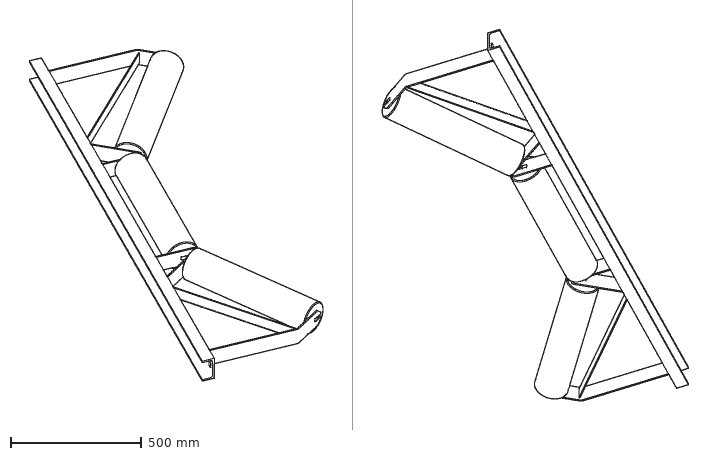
import cadquery as cq
import math

BEAM_LENGTH = 1900.0
BEAM_HEIGHT = 100.0
BEAM_DEPTH = 50.0
BEAM_THICKNESS = 8.0
BEAM_ROOT_RADIUS = 10.0
MOUNT_SLOT_WIDTH = 19.0
MOUNT_SLOT_HEIGHT = 28.0
MOUNT_SLOT_END_DISTANCE = 28.0

ROLLER_DIAMETER = 133.0
ROLLER_LENGTH = 570.0
ROLLER_CHAMFER = 4.0
CENTRE_ROLLER_Y = 118.0
WING_TILT = 35.0
WING_CENTRE_X = 572.0
WING_CENTRE_Y = 298.0

AXLE_DIAMETER = 23.0
AXLE_FLAT_WIDTH = 15.0

STRIP_THICKNESS = 6.0
STRIP_WIDTH = 72.0
ROLLER_GAP = 5.0
OUTER_BEND_RADIUS = 19.0
INNER_BEND_RADIUS = 11.0
TIP_ABOVE_AXLE = 32.0
TIP_CHAMFER = 23.0
UPRIGHT_OUTER_X = 885.0

BRACE_THICKNESS = 4.8
BRACE_WIDTH = 50.0
BRACE_FOOT_X = 458.0
BRACE_ANGLE = 42.0

half_roller = ROLLER_LENGTH / 2
near_face = half_roller + ROLLER_GAP
far_face = near_face + STRIP_THICKNESS
tilt_sin = math.sin(math.radians(WING_TILT))
tilt_cos = math.cos(math.radians(WING_TILT))


def wing_point(along, above):
    """XY point of the left wing roller's frame: along its axis (downhill), and square to it (upward)."""
    x = -WING_CENTRE_X + along * tilt_cos + above * tilt_sin
    y = WING_CENTRE_Y - along * tilt_sin + above * tilt_cos
    return x, y


def wing_point_at_x(along, x):
    """Point on the line square to the wing axis at `along` which has the given x."""
    above = (x + WING_CENTRE_X - along * tilt_cos) / tilt_sin
    return wing_point(along, above)


def wing_point_at_y(along, y):
    """Point on the line square to the wing axis at `along` which has the given y."""
    above = (y - WING_CENTRE_Y + along * tilt_sin) / tilt_cos
    return wing_point(along, above)


def extrude_about_mid_plane(points, width):
    """Prism of an XY outline, centred on Z = 0."""
    return cq.Workplane("XY", origin=(0, 0, -width / 2)).polyline(points).close().extrude(width)


def fillet_at(body, point, radius):
    """Round the vertical edge which passes through an XY point."""
    edge = cq.selectors.NearestToPointSelector((point[0], point[1], 0))
    return body.edges("|Z").edges(edge).fillet(radius)


def to_wing(body):
    """Carry a body from a level roller at the origin to the left wing roller."""
    return body.rotate((0, 0, 0), (0, 0, 1), -WING_TILT).translate((-WING_CENTRE_X, WING_CENTRE_Y, 0))


def to_centre(body):
    """Carry a body from a level roller at the origin to the centre roller."""
    return body.translate((0, CENTRE_ROLLER_Y, 0))


def mirrored(body):
    return body.mirror("YZ")


def make_beam():
    channel = (
        cq.Workplane("XY")
        .box(BEAM_LENGTH, BEAM_DEPTH, BEAM_HEIGHT)
        .translate((0, -BEAM_DEPTH / 2, 0))
    )
    cavity = (
        cq.Workplane("XY")
        .box(BEAM_LENGTH, BEAM_DEPTH, BEAM_HEIGHT - 2 * BEAM_THICKNESS)
        .edges("|X and >Y")
        .fillet(BEAM_ROOT_RADIUS)
        .translate((0, -BEAM_DEPTH / 2 - BEAM_THICKNESS, 0))
    )
    slot_x = BEAM_LENGTH / 2 - MOUNT_SLOT_END_DISTANCE
    slots = (
        cq.Workplane("XZ")
        .pushPoints([(-slot_x, 0), (slot_x, 0)])
        .slot2D(MOUNT_SLOT_HEIGHT, MOUNT_SLOT_WIDTH, 90)
        .extrude(BEAM_DEPTH)
    )
    return channel.cut(cavity).cut(slots)


def make_roller():
    """Level roller along X, centred on the origin, axle ends flush with the bracket faces."""
    drum = (
        cq.Workplane("YZ", origin=(-half_roller, 0, 0))
        .circle(ROLLER_DIAMETER / 2)
        .extrude(ROLLER_LENGTH)
        .faces("<X or >X")
        .chamfer(ROLLER_CHAMFER)
    )
    axle = cq.Workplane("YZ", origin=(-far_face, 0, 0)).circle(AXLE_DIAMETER / 2).extrude(2 * far_face)
    flats = cq.Workplane("XY").box(2 * far_face, AXLE_DIAMETER, AXLE_FLAT_WIDTH)
    return drum.union(axle.intersect(flats))


def make_axle_slot(end):
    """Cutter for the upward-open axle slot at one end (-1 or +1) of a level roller at the origin."""
    middle = end * (near_face + far_face) / 2
    cutter_length = 3 * STRIP_THICKNESS
    opening_height = ROLLER_DIAMETER / 2
    seat = cq.Workplane("YZ").circle(AXLE_DIAMETER / 2).extrude(cutter_length / 2, both=True)
    opening = (
        cq.Workplane("XY")
        .box(cutter_length, opening_height, AXLE_DIAMETER)
        .translate((0, opening_height / 2, 0))
    )
    flats = cq.Workplane("XY").box(cutter_length, ROLLER_DIAMETER, AXLE_FLAT_WIDTH)
    return seat.union(opening).intersect(flats).translate((middle, 0, 0))


def make_outer_bracket():
    """Left outer upright, bent over to lie along the outer end of the wing roller."""
    upright_inner_x = -UPRIGHT_OUTER_X + STRIP_THICKNESS
    outer_bend = wing_point_at_x(-far_face, -UPRIGHT_OUTER_X)
    inner_bend = wing_point_at_x(-near_face, upright_inner_x)
    strip = extrude_about_mid_plane(
        [
            (-UPRIGHT_OUTER_X, 0),
            outer_bend,
            wing_point(-far_face, TIP_ABOVE_AXLE),
            wing_point(-near_face, TIP_ABOVE_AXLE),
            inner_bend,
            (upright_inner_x, 0),
        ],
        STRIP_WIDTH,
    )
    strip = fillet_at(strip, outer_bend, OUTER_BEND_RADIUS)
    strip = fillet_at(strip, inner_bend, OUTER_BEND_RADIUS - STRIP_THICKNESS)
    half_width = STRIP_WIDTH / 2
    corner = (
        cq.Workplane("YZ")
        .polyline(
            [
                (TIP_ABOVE_AXLE, half_width - TIP_CHAMFER),
                (TIP_ABOVE_AXLE, half_width),
                (TIP_ABOVE_AXLE - TIP_CHAMFER, half_width),
            ]
        )
        .close()
        .extrude(2 * STRIP_THICKNESS, both=True)
        .translate((-far_face, 0, 0))
    )
    for cutter in (corner, corner.mirror("XY"), make_axle_slot(-1)):
        strip = strip.cut(to_wing(cutter))
    return strip


def make_inner_bracket():
    """Left inverted V between the wing roller and the centre roller."""
    outer_bend = wing_point_at_x(near_face, -near_face)
    inner_bend = wing_point_at_x(far_face, -far_face)
    strip = extrude_about_mid_plane(
        [
            (-near_face, 0),
            outer_bend,
            wing_point_at_y(near_face, 0),
            wing_point_at_y(far_face, 0),
            inner_bend,
            (-far_face, 0),
        ],
        STRIP_WIDTH,
    )
    strip = fillet_at(strip, outer_bend, INNER_BEND_RADIUS)
    strip = fillet_at(strip, inner_bend, INNER_BEND_RADIUS - STRIP_THICKNESS)
    return strip.cut(to_wing(make_axle_slot(1))).cut(to_centre(make_axle_slot(-1)))


def make_brace(bracket):
    """Left sloping bar, cut level at the beam and fitted to the outer bracket."""
    top_x = -UPRIGHT_OUTER_X + STRIP_THICKNESS
    slope = math.tan(math.radians(BRACE_ANGLE))
    foot_length = BRACE_THICKNESS / math.sin(math.radians(BRACE_ANGLE))
    foot_outer_x = -BRACE_FOOT_X - foot_length
    bar = extrude_about_mid_plane(
        [
            (-BRACE_FOOT_X, 0),
            (top_x, (-BRACE_FOOT_X - top_x) * slope),
            (top_x, (foot_outer_x - top_x) * slope),
            (foot_outer_x, 0),
        ],
        BRACE_WIDTH,
    )
    return bar.cut(bracket).solids(">X")


beam = make_beam()
roller = make_roller()
outer_bracket = make_outer_bracket()
left_side = [to_wing(roller), outer_bracket, make_inner_bracket(), make_brace(outer_bracket)]
bodies = [beam.val(), to_centre(roller).val()]
for left_body in left_side:
    bodies.append(left_body.val())
    bodies.append(mirrored(left_body).val())

result = cq.Compound.makeCompound(bodies)